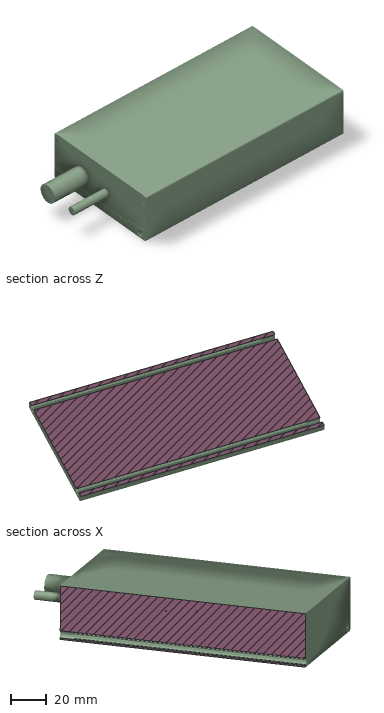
import cadquery as cq

width = 77.0
height = 31.5
total_length = 170.9
rod_length = 25.0
body_length = total_length - rod_length
top_edge_radius = 0.9
bottom_edge_radius = 1.25

rods = [(12, -15.9), (5.3, 4.5)]
rod_height = 14.5

screw_hole_diameter = 4.3
screw_hole_x = 33.8
screw_hole_z = 3.0
plain_depth = 8.5
rib_count = 6
rib_tip_diameter = 2.5
rib_base_width = 0.5

panel_recess = 0.2
panel_half_width = 37.3
panel_bottom = 6.7
panel_corner_radius = 1.2

tooth_projection = 1.5
tooth_flare = 0.5
tooth_flanks = [29.4, 25.3, 21.2, 17.0, 12.3]

tongue_left = -28.9
tongue_right = 23.5
tongue_bottom = 5.1


def make_body():
    box = cq.Workplane("XY").box(width, body_length, height, centered=(True, False, False))
    box = box.edges("|Y and >Z").fillet(top_edge_radius)
    return box.edges("|Y and <Z").fillet(bottom_edge_radius)


def make_rod(diameter, x):
    """Rod from the floor of the panel recess out to the front end."""
    return (
        cq.Workplane("XZ", origin=(0, panel_recess, 0))
        .center(x, rod_height)
        .circle(diameter / 2)
        .extrude(rod_length + panel_recess)
    )


def make_screw_hole(x):
    """Cutter for one screw hole: a cylinder less the triangular ribs on its wall."""
    radius = screw_hole_diameter / 2
    hole = cq.Workplane("XZ").center(x, screw_hole_z).circle(radius).extrude(-body_length)
    base_radius = radius + rib_base_width / 2
    rib = (
        cq.Workplane("XZ", origin=(0, plain_depth, 0))
        .center(x, screw_hole_z)
        .moveTo(rib_tip_diameter / 2, 0)
        .lineTo(base_radius, rib_base_width / 2)
        .lineTo(base_radius, -rib_base_width / 2)
        .close()
        .extrude(plain_depth - body_length)
    )
    for i in range(rib_count):
        angle = i * 360 / rib_count
        hole = hole.cut(rib.rotate((x, 0, screw_hole_z), (x, 1, screw_hole_z), angle))
    return hole


def toothed_edge():
    """Right edge of the panel, from the top face down to the corner arc."""
    tip_x = panel_half_width - tooth_projection
    points = [(tip_x, height)]
    for i, flank in enumerate(tooth_flanks):
        if i % 2 == 0:
            points += [(tip_x, flank - tooth_flare), (panel_half_width, flank + tooth_flare)]
        else:
            points += [(panel_half_width, flank - tooth_flare), (tip_x, flank + tooth_flare)]
    points.append((panel_half_width, panel_bottom + panel_corner_radius))
    return points


def make_panel_recess():
    """Cutter for the shallow recess that sets the panel back."""
    right_edge = toothed_edge()
    left_edge = [(-x, z) for x, z in reversed(right_edge)]
    corner_x = panel_half_width - panel_corner_radius
    return (
        cq.Workplane("XZ")
        .polyline(right_edge)
        .radiusArc((corner_x, panel_bottom), panel_corner_radius)
        .lineTo(tongue_right, panel_bottom)
        .lineTo(tongue_right, tongue_bottom)
        .lineTo(tongue_left, tongue_bottom)
        .lineTo(tongue_left, panel_bottom)
        .lineTo(-corner_x, panel_bottom)
        .radiusArc(left_edge[0], panel_corner_radius)
        .polyline(left_edge[1:], includeCurrent=True)
        .close()
        .extrude(-panel_recess)
    )


result = make_body().cut(make_panel_recess())
for rod_diameter, rod_x in rods:
    result = result.union(make_rod(rod_diameter, rod_x))
for side in (-1, 1):
    result = result.cut(make_screw_hole(side * screw_hole_x))